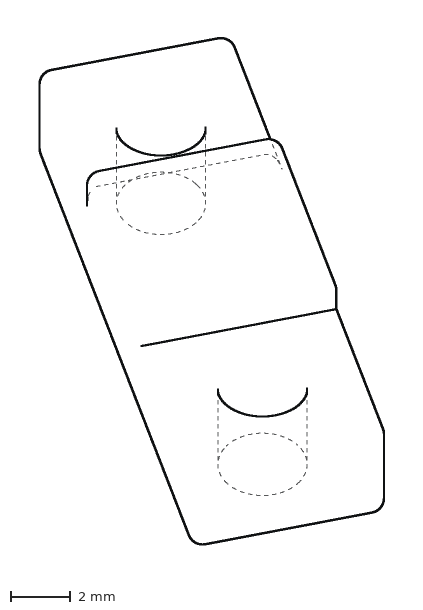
import cadquery as cq
import math

base_length = 20.0
width = 6.8
base_height = 4.0
total_height = 5.0
pad_length = 7.8
edge_radius = 0.5
hole_diameter = 3.0
hole_spacing = 13.0

pad_bottom = base_height - edge_radius
pad_height = total_height - pad_bottom


def make_base():
    """Bar with every edge rounded, resting on Z = 0."""
    bar = cq.Workplane("XY").box(base_length, width, base_height, centered=(True, True, False))
    return bar.edges().fillet(edge_radius)


def make_pad():
    """Raised centre block with rounded upright and top edges."""
    block = cq.Workplane("XY").workplane(offset=pad_bottom)
    block = block.box(pad_length, width, pad_height, centered=(True, True, False))
    return block.edges("|Z or >Z").fillet(edge_radius)


def make_hole_cutter(x):
    """Through hole whose mouth flares out with a convex round at the top of the base."""
    bore_radius = hole_diameter / 2
    arc_start_height = base_height - edge_radius
    mouth_radius = bore_radius + edge_radius
    arc_shift = edge_radius * math.sin(math.pi / 4)
    profile = (
        cq.Workplane("XZ")
        .lineTo(bore_radius, 0)
        .lineTo(bore_radius, arc_start_height)
        .threePointArc(
            (mouth_radius - arc_shift, arc_start_height + arc_shift),
            (mouth_radius, base_height),
        )
        .lineTo(0, base_height)
        .close()
    )
    return profile.revolve(360, (0, 0, 0), (0, 1, 0)).translate((x, 0, 0))


result = make_base().union(make_pad())
for side in (-1, 1):
    result = result.cut(make_hole_cutter(side * hole_spacing / 2))